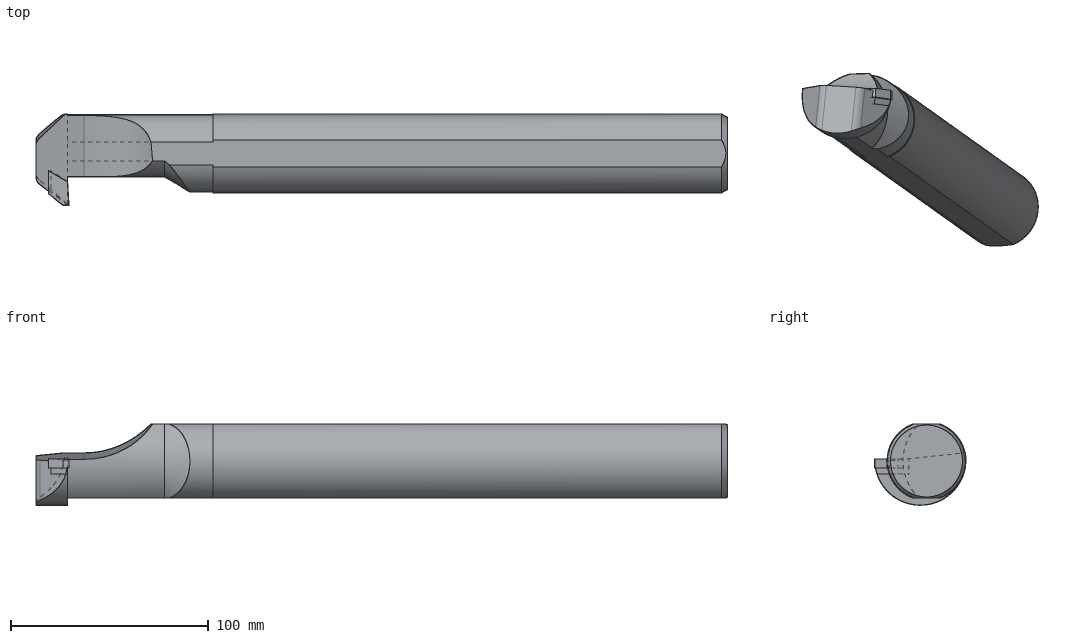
import cadquery as cq
import math

length = 350.0
shank_diameter = 40.0
front_diameter = 39.2
relief_end = 89.5
flats_height = 37.5
end_chamfer_length = 3.0
end_chamfer_drop = 1.8

neck_radius = 25.5
neck_center_y = 13.5
neck_end = 65.0
flare_slope = 0.6
flare_length = 21.0

head_radius = 23.0
head_center_y = -3.0
head_center_z = 0.7
head_back = 16.0

rake_tilt = 6.0
rake_height = 2.0
nose_upper_y = 6.0
nose_lower_y = -14.5
upper_flank_slope = 0.95
lower_flank_slope = 0.76
nose_corner_radius = 5.2

runout_start = 24.5
runout_radius = 43.8

insert_front = 6.3
base_front = 7.7
insert_inner_y = -8.8
insert_back_inner_y = -14.5
insert_back_tip = 16.8
insert_tip_front = 13.5
insert_tip_y = -26.2
insert_side_y = -20.3
insert_top = 1.0
insert_bottom = -6.5
land_bottom = -3.5

clearance = 70.0


def tilt_to_rake(shape):
    """Tilt a shape with the rake face and lift it to the rake height."""
    return shape.rotate((0, 0, 0), (1, 0, 0), rake_tilt).translate((0, 0, rake_height))


def make_bar():
    shank_radius = shank_diameter / 2
    front_radius = front_diameter / 2
    bar = (
        cq.Workplane("XY")
        .moveTo(0, 0)
        .lineTo(0, front_radius)
        .lineTo(relief_end, front_radius)
        .lineTo(relief_end, shank_radius)
        .lineTo(length - end_chamfer_length, shank_radius)
        .lineTo(length, shank_radius - end_chamfer_drop)
        .lineTo(length, 0)
        .close()
        .revolve(360, (0, 0, 0), (1, 0, 0))
    )
    flats = cq.Workplane("XY").box(length, shank_diameter, flats_height, centered=(False, True, True))
    return bar.intersect(flats)


def make_neck_envelope():
    """Neck cylinder and flare cone, then wide enough to leave the shank whole."""
    flare_end = neck_end + flare_length
    flare_radius = neck_radius + flare_slope * flare_length
    return (
        cq.Workplane("XY")
        .moveTo(0, 0)
        .lineTo(0, neck_radius)
        .lineTo(neck_end, neck_radius)
        .lineTo(flare_end, flare_radius)
        .lineTo(length, flare_radius)
        .lineTo(length, 0)
        .close()
        .revolve(360, (0, 0, 0), (1, 0, 0))
        .translate((0, neck_center_y, 0))
    )


def make_head_disc():
    return (
        cq.Workplane("YZ")
        .center(head_center_y, head_center_z)
        .circle(head_radius)
        .extrude(head_back)
    )


def make_nose_envelope():
    """Everything behind the front face and its two flanks."""
    upper_x = (clearance - nose_upper_y) / upper_flank_slope
    lower_x = (clearance + nose_lower_y) / lower_flank_slope
    envelope = (
        cq.Workplane("XY")
        .moveTo(0, nose_upper_y)
        .lineTo(upper_x, clearance)
        .lineTo(length + clearance, clearance)
        .lineTo(length + clearance, -clearance)
        .lineTo(lower_x, -clearance)
        .lineTo(0, nose_lower_y)
        .close()
        .extrude(clearance, both=True)
        .edges("|Z")
        .edges("<X")
        .fillet(nose_corner_radius)
    )
    return tilt_to_rake(envelope)


def make_rake_cut():
    """Material above the rake face and its curved run-out."""
    quarter = math.radians(45)
    runout_end = runout_start + runout_radius
    cut = (
        cq.Workplane("XZ")
        .moveTo(-clearance, 0)
        .lineTo(runout_start, 0)
        .threePointArc(
            (
                runout_start + runout_radius * math.sin(quarter),
                runout_radius * (1 - math.cos(quarter)),
            ),
            (runout_end, runout_radius),
        )
        .lineTo(-clearance, runout_radius)
        .close()
        .extrude(clearance, both=True)
    )
    return tilt_to_rake(cut)


def insert_block(front, bottom, top):
    return (
        cq.Workplane("XY")
        .workplane(offset=bottom)
        .moveTo(front, insert_inner_y)
        .lineTo(head_back, insert_back_inner_y)
        .lineTo(insert_back_tip, insert_tip_y)
        .lineTo(insert_tip_front, insert_tip_y)
        .lineTo(front, insert_side_y)
        .close()
        .extrude(top - bottom)
    )


def make_insert(nose_envelope, head_disc):
    """Proud cutting land on a base that is flush with the head."""
    land = insert_block(insert_front, land_bottom, insert_top)
    base = insert_block(base_front, insert_bottom, land_bottom)
    base = base.intersect(nose_envelope).intersect(head_disc)
    return land.union(base)


def make_holder(nose_envelope, head_disc):
    holder = make_bar().intersect(make_neck_envelope()).union(head_disc)
    holder = holder.intersect(nose_envelope).cut(make_rake_cut())
    land_pocket = insert_block(insert_front, land_bottom, clearance)
    base_pocket = insert_block(base_front, insert_bottom, land_bottom)
    return holder.cut(land_pocket).cut(base_pocket)


nose_envelope = make_nose_envelope()
head_disc = make_head_disc()
holder = make_holder(nose_envelope, head_disc)
insert = make_insert(nose_envelope, head_disc)

result = cq.Compound.makeCompound([holder.val(), insert.val()])